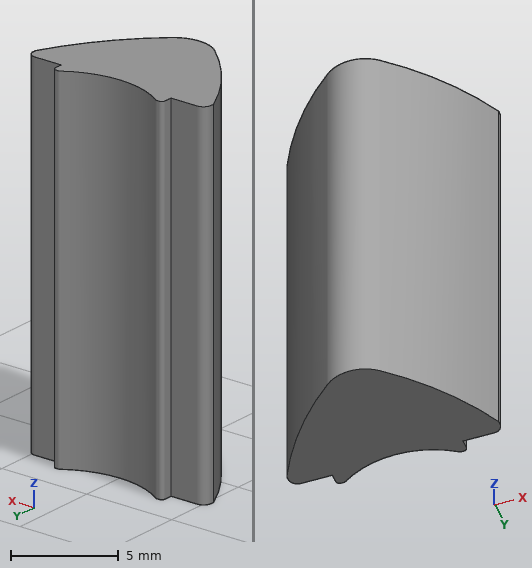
import cadquery as cq
import math

length = 20.0
width = 10.5
depth = 6.88

nose_radius = 2.0
flank_radius = 15.6
shoulder_radius = 0.45
side_flat = 0.18

lip_height = 0.65
lip_half_width = 3.25
lip_round = 0.2
groove_depth = 0.9
groove_radius = 5.0

shoulder_y = depth - lip_height
groove_bottom_y = depth - groove_depth
groove_center_y = groove_bottom_y + groove_radius
groove_half_width = math.sqrt(groove_radius**2 - (groove_center_y - depth) ** 2)


def flank_center(nose_center, flank_end):
    """Center of the right flank arc, tangent to the nose arc and ending at flank_end."""
    nose_distance = flank_radius - nose_radius
    dx = flank_end[0] - nose_center[0]
    dy = flank_end[1] - nose_center[1]
    span = math.hypot(dx, dy)
    along = (nose_distance**2 - flank_radius**2 + span**2) / (2 * span)
    offset = math.sqrt(nose_distance**2 - along**2)
    return (
        nose_center[0] + (along * dx - offset * dy) / span,
        nose_center[1] + (along * dy + offset * dx) / span,
    )


def arc_point(center, radius, angle):
    return (center[0] + radius * math.cos(angle), center[1] + radius * math.sin(angle))


def direction(start, end):
    return math.atan2(end[1] - start[1], end[0] - start[0])


def mirrored(point):
    return (-point[0], point[1])


nose_center = (0, nose_radius)
shoulder_center = (width / 2 - shoulder_radius, shoulder_y - shoulder_radius)
side_top = (width / 2, shoulder_center[1])
flank_end = (width / 2, shoulder_center[1] - side_flat)
flank_origin = flank_center(nose_center, flank_end)
nose_angle = direction(flank_origin, nose_center)
end_angle = direction(flank_origin, flank_end)

nose_end = arc_point(flank_origin, flank_radius, nose_angle)
flank_middle = arc_point(flank_origin, flank_radius, (nose_angle + end_angle) / 2)
shoulder_middle = arc_point(shoulder_center, shoulder_radius, math.pi / 4)
shoulder_end = (shoulder_center[0], shoulder_y)
lip_base = (lip_half_width, shoulder_y)
lip_corner = (lip_half_width, depth)
groove_edge = (groove_half_width, depth)

profile = (
    cq.Workplane("XY")
    .moveTo(*mirrored(nose_end))
    .threePointArc((0, 0), nose_end)
    .threePointArc(flank_middle, flank_end)
    .lineTo(*side_top)
    .threePointArc(shoulder_middle, shoulder_end)
    .lineTo(*lip_base)
    .lineTo(*lip_corner)
    .lineTo(*groove_edge)
    .threePointArc((0, groove_bottom_y), mirrored(groove_edge))
    .lineTo(*mirrored(lip_corner))
    .lineTo(*mirrored(lip_base))
    .lineTo(*mirrored(shoulder_end))
    .threePointArc(mirrored(shoulder_middle), mirrored(side_top))
    .lineTo(*mirrored(flank_end))
    .threePointArc(mirrored(flank_middle), mirrored(nose_end))
    .close()
)

result = profile.extrude(length).faces(">Y").edges("|Z").fillet(lip_round)